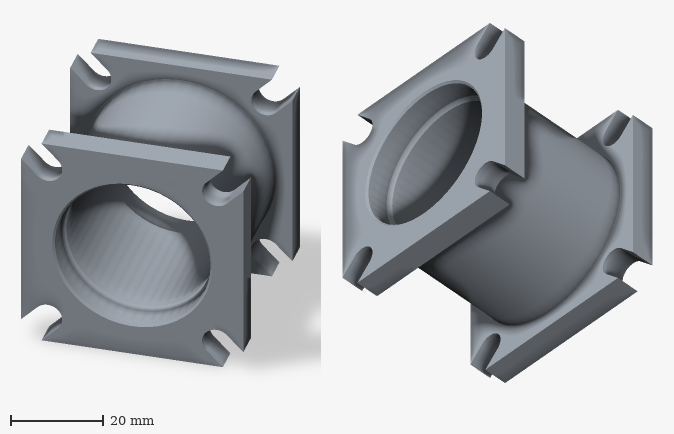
import cadquery as cq
import math

flange_side = 50
flange_thickness = 6
length = 45
half_length = length / 2

tube_diameter = 42.5
collar_height = 0.2

bore_radius = 16.75
seat_radius = 17.5
seat_depth = 6
seat_taper_length = 1
mouth_chamfer = 0.5

slot_radius = 3.25
slot_center_offset = 19
slot_angles = (45, 135, 225, 315)


def cylinder_along_y(radius, start, end):
    plane = cq.Workplane("XZ", origin=(0, start, 0))
    return plane.circle(radius).extrude(start - end)


def make_flange(side):
    center_y = side * (half_length - flange_thickness / 2)
    plate = cq.Workplane("XY").box(flange_side, flange_thickness, flange_side)
    return plate.translate((0, center_y, 0))


def make_collar(side):
    """Conical ring blending the tube into the inner face of a flange."""
    tube_radius = tube_diameter / 2
    flange_face = half_length - flange_thickness
    profile = [
        (0, side * flange_face),
        (tube_radius + collar_height, side * flange_face),
        (tube_radius, side * (flange_face - collar_height)),
        (0, side * (flange_face - collar_height)),
    ]
    return cq.Workplane("XY").polyline(profile).close().revolve(360, (0, 0, 0), (0, 1, 0))


def make_bore():
    """Stepped bore turned about Y, symmetric end to end."""
    seat_end = half_length - seat_depth
    taper_end = seat_end - seat_taper_length
    upper = [
        (bore_radius, taper_end),
        (seat_radius, seat_end),
        (seat_radius, half_length - mouth_chamfer),
        (seat_radius + mouth_chamfer, half_length),
        (0, half_length),
    ]
    lower = [(radius, -y) for radius, y in reversed(upper)]
    return cq.Workplane("XY").polyline(upper + lower).close().revolve(360, (0, 0, 0), (0, 1, 0))


def make_corner_slot(angle):
    """Round-bottomed slot running outward past a flange corner."""
    inner = slot_center_offset * math.sqrt(2)
    outer = flange_side
    channel = (
        cq.Workplane("XZ")
        .center((inner + outer) / 2, 0)
        .rect(outer - inner, 2 * slot_radius)
        .extrude(half_length, both=True)
    )
    bottom = cylinder_along_y(slot_radius, -half_length, half_length).translate((inner, 0, 0))
    return channel.union(bottom).rotate((0, 0, 0), (0, 1, 0), angle)


result = cylinder_along_y(tube_diameter / 2, -half_length, half_length)
for end in (-1, 1):
    result = result.union(make_flange(end)).union(make_collar(end))
for slot_angle in slot_angles:
    result = result.cut(make_corner_slot(slot_angle))
result = result.cut(make_bore())